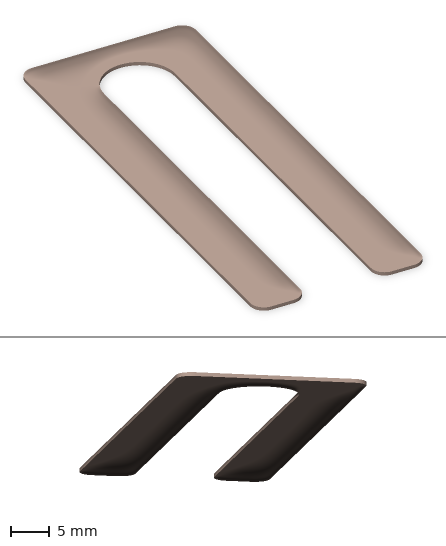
import cadquery as cq

length = 65.0
width = 25.0
thickness = 0.5
corner_radius = 2.0

slot_width = 10.4
back_web = 4.75

slot_radius = slot_width / 2
half_length = length / 2
slot_end_x = -half_length + back_web
slot_center_x = slot_end_x + slot_radius

plate = cq.Workplane("XY").rect(length, width).extrude(thickness)

slot = (
    cq.Workplane("XY")
    .moveTo(half_length, -slot_radius)
    .lineTo(slot_center_x, -slot_radius)
    .threePointArc((slot_end_x, 0), (slot_center_x, slot_radius))
    .lineTo(half_length, slot_radius)
    .close()
    .extrude(thickness)
)

fork = plate.cut(slot)
back_corners = fork.faces("<X").edges("|Z")
tip_corners = fork.faces(">X").edges("|Z")
result = fork.newObject(back_corners.vals() + tip_corners.vals()).fillet(corner_radius)